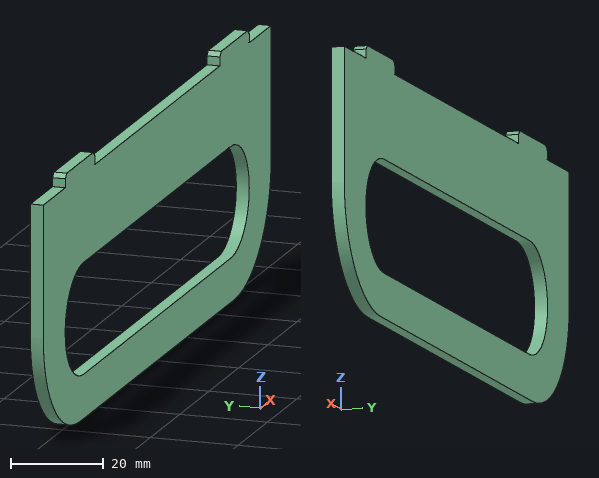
import cadquery as cq

plate_width = 155.0
plate_height = 55.0
thickness = 3.0
bottom_corner_radius = 25.0

side_border = 15.0
slot_length = plate_width - 2 * side_border
slot_height = 25.0
slot_bottom = 10.0

tab_width = 20.0
tab_height = 3.0
tab_chamfer = 1.0
tab_offset = (slot_length - tab_width) / 2


def make_block(width, height, center_x, bottom_z):
    """Block of plate thickness, running from Y = 0 to Y = thickness."""
    block = cq.Workplane("XY").box(width, thickness, height, centered=(True, False, False))
    return block.translate((center_x, 0, bottom_z))


def make_plate():
    """Rectangular plate with large rounds on its two bottom corners."""
    plate = make_block(plate_width, plate_height, 0, 0)
    return plate.faces("<Z").edges("|Y").fillet(bottom_corner_radius)


def make_tab(center_x):
    """Tab on the top edge with chamfered upper corners."""
    tab = make_block(tab_width, tab_height, center_x, plate_height)
    return tab.faces(">Z").edges("|Y").chamfer(tab_chamfer)


def make_slot():
    """Cutter for the grip slot, reaching through the full thickness."""
    slot_center_z = slot_bottom + slot_height / 2
    return (
        cq.Workplane("XZ")
        .center(0, slot_center_z)
        .slot2D(slot_length, slot_height)
        .extrude(-thickness)
    )


result = make_plate().cut(make_slot())
for side in (-1, 1):
    result = result.union(make_tab(side * tab_offset))